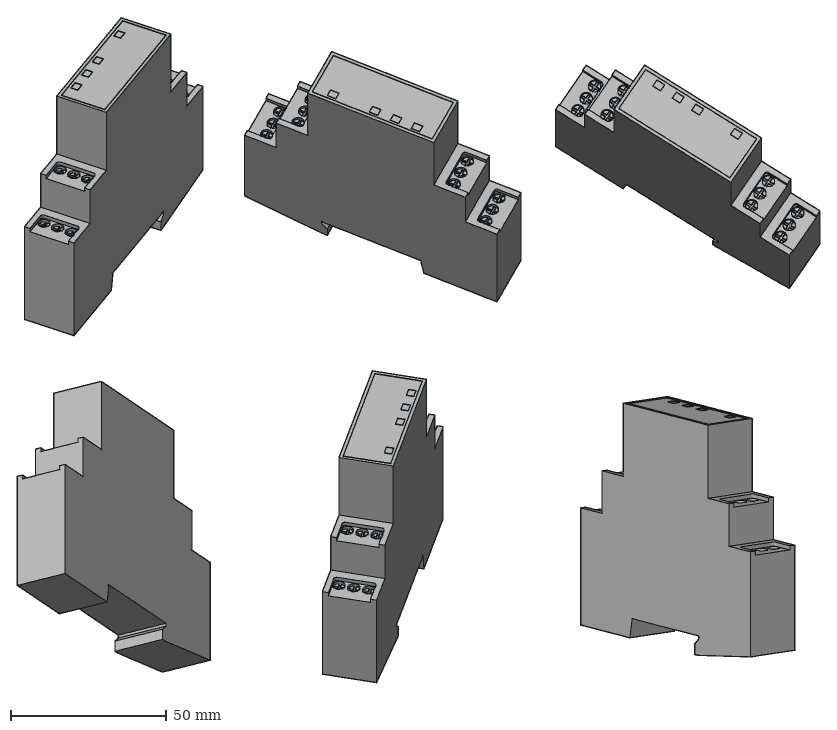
import cadquery as cq

WIDTH = 18.0

TOWER_LENGTH, TOWER_TOP = 45.0, 76.5
UPPER_LENGTH, UPPER_TOP = 67.5, 52.5
LOWER_LENGTH, LOWER_TOP = 90.0, 38.5

SLOT_TOP = 6.5
SLOT_FRONT_Y = -17.9
SLOT_FRONT_MOUTH_Y = -18.9
SLOT_TAPER_TOP = 5.4
SLOT_BACK_Y = 17.55
HOOK_Y = 15.5
HOOK_SHOULDER_TOP = 5.5
HOOK_TIP_TOP = 3.6
HOOK_FLAT_LENGTH = 1.5
FOOT_RISE = 4.0

POCKET_WIDTH = 13.95
POCKET_LENGTH = 8.2
POCKET_DEPTH = 1.35
POCKET_CORNER_RADIUS = 1.0

SCREW_DIAMETER = 4.0
SCREW_PITCH = 4.95
SCREW_COUNT = 3
SCREW_FROM_EDGE = 5.9
SCREW_SINK = 1.0
CROSS_WIDTH = 0.7
CROSS_DEPTH = 0.7

PANEL_WIDTH = 15.75
PANEL_LENGTH = 42.75
PANEL_DEPTH = 0.2
WINDOW_DEPTH = 0.2
WINDOW_WIDTH = 2.4
WINDOW_LENGTH = 3.0
WINDOW_X = (WINDOW_WIDTH - POCKET_WIDTH) / 2
WINDOW_PITCH = 7.5
WINDOW_PLACES = (-2, -1, 0, 2)


def make_body():
    """Side outline extruded across the width."""
    tower_y = TOWER_LENGTH / 2
    upper_y = UPPER_LENGTH / 2
    lower_y = LOWER_LENGTH / 2
    outline = [
        (-lower_y, 0),
        (-lower_y, LOWER_TOP),
        (-upper_y, LOWER_TOP),
        (-upper_y, UPPER_TOP),
        (-tower_y, UPPER_TOP),
        (-tower_y, TOWER_TOP),
        (tower_y, TOWER_TOP),
        (tower_y, UPPER_TOP),
        (upper_y, UPPER_TOP),
        (upper_y, LOWER_TOP),
        (lower_y, LOWER_TOP),
        (lower_y, FOOT_RISE),
        (HOOK_Y + HOOK_FLAT_LENGTH, 0),
        (HOOK_Y, 0),
        (HOOK_Y, HOOK_TIP_TOP),
        (SLOT_BACK_Y, HOOK_SHOULDER_TOP),
        (SLOT_BACK_Y, SLOT_TOP),
        (SLOT_FRONT_Y, SLOT_TOP),
        (SLOT_FRONT_Y, SLOT_TAPER_TOP),
        (SLOT_FRONT_MOUTH_Y, 0),
    ]
    return cq.Workplane("YZ").polyline(outline).close().extrude(WIDTH / 2, both=True)


def box_on(x, y, bottom, width, length, height):
    """Box centred at (x, y) and standing on the given bottom height."""
    return (
        cq.Workplane("XY", origin=(x, y, bottom))
        .box(width, length, height, centered=(True, True, False))
    )


def make_screw_recess(x, y, floor):
    """Round sink below the pocket floor with a cross slot in its base."""
    head = floor - SCREW_SINK
    cross_bottom = head - CROSS_DEPTH
    sink = cq.Workplane("XY", origin=(x, y, head)).circle(SCREW_DIAMETER / 2).extrude(SCREW_SINK)
    cross = (
        box_on(x, y, cross_bottom, SCREW_DIAMETER, CROSS_WIDTH, CROSS_DEPTH)
        .union(box_on(x, y, cross_bottom, CROSS_WIDTH, SCREW_DIAMETER, CROSS_DEPTH))
    )
    round_limit = (
        cq.Workplane("XY", origin=(x, y, cross_bottom))
        .circle(SCREW_DIAMETER / 2)
        .extrude(CROSS_DEPTH)
    )
    return sink.union(cross.intersect(round_limit))


def make_terminal_cut(step_length, step_top, side):
    """Pocket and its screws for one step; side is -1 for the -Y end, 1 for the +Y end."""
    edge_y = side * step_length / 2
    floor = step_top - POCKET_DEPTH
    inner_face = ">Y" if side < 0 else "<Y"
    cut = (
        box_on(0, edge_y - side * POCKET_LENGTH / 2, floor, POCKET_WIDTH, POCKET_LENGTH, POCKET_DEPTH)
        .faces(inner_face)
        .edges("|Z")
        .fillet(POCKET_CORNER_RADIUS)
    )
    for index in range(SCREW_COUNT):
        screw_x = (index - (SCREW_COUNT - 1) / 2) * SCREW_PITCH
        cut = cut.union(make_screw_recess(screw_x, edge_y - side * SCREW_FROM_EDGE, floor))
    return cut


def make_panel_cut():
    """Shallow panel recess with the indicator windows sunk a little below it."""
    floor = TOWER_TOP - PANEL_DEPTH
    cut = box_on(0, 0, floor, PANEL_WIDTH, PANEL_LENGTH, PANEL_DEPTH)
    for place in WINDOW_PLACES:
        window = box_on(
            WINDOW_X, place * WINDOW_PITCH, floor - WINDOW_DEPTH, WINDOW_WIDTH, WINDOW_LENGTH, WINDOW_DEPTH
        )
        cut = cut.union(window)
    return cut


result = make_body().cut(make_panel_cut())
for step_length, step_top in ((UPPER_LENGTH, UPPER_TOP), (LOWER_LENGTH, LOWER_TOP)):
    for side in (-1, 1):
        result = result.cut(make_terminal_cut(step_length, step_top, side))